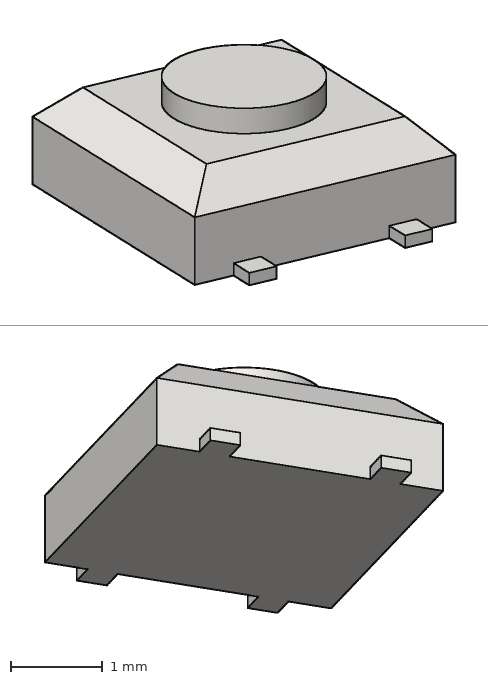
import cadquery as cq

overall_length = 4.0
overall_height = 1.5

body_side = 3.35
body_height = 1.2
bevel = 0.4

button_diameter = 1.8
button_height = overall_height - body_height

lead_width = 0.35
lead_thickness = 0.15
lead_pitch = 2.0


def make_body():
    block = cq.Workplane("XY").box(body_side, body_side, body_height, centered=(True, True, False))
    return block.faces(">Z").edges().chamfer(bevel)


def make_button():
    return cq.Workplane("XY").workplane(offset=body_height).circle(button_diameter / 2).extrude(button_height)


def make_lead_pair(y):
    """A strip through the housing whose two ends stick out as leads."""
    strip = cq.Workplane("XY").box(
        overall_length, lead_width, lead_thickness, centered=(True, True, False)
    )
    return strip.translate((0, y, 0))


result = make_body().union(make_button())
for side in (-1, 1):
    result = result.union(make_lead_pair(side * lead_pitch / 2))